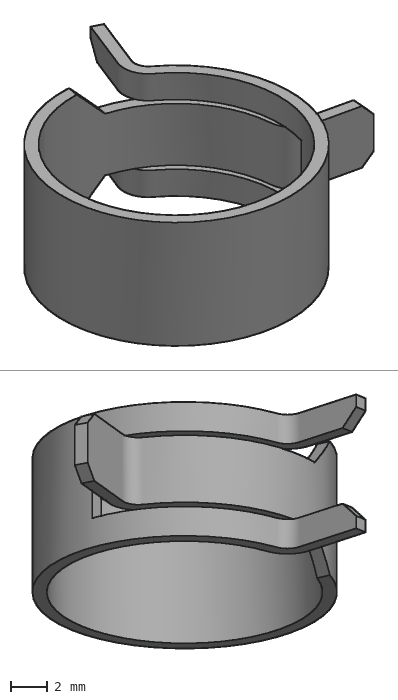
import cadquery as cq
import math


overall_length = 19.61
outer_radius = 8.45
thickness = 0.8
band_width = 8.0
tongue_width = band_width / 2
window_width = 4.51
split_angle = 48.0
bend_angle = 26.4
ear_angle = 38.0
bend_inside_radius = 1.0
tongue_tip_chamfer = 0.8
arm_tip_chamfer = 1.0

inner_radius = outer_radius - thickness
bend_outside_radius = bend_inside_radius + thickness
bend_center_radius = outer_radius + bend_inside_radius
half_width = band_width / 2
seam_angle = 180


def polar(radius, degrees, center=(0, 0)):
    """Point at a radius and angle from +X about a center."""
    angle = math.radians(degrees)
    return (center[0] + radius * math.cos(angle), center[1] + radius * math.sin(angle))


def curved_strip(center, radii, angles, z_range):
    """Piece of a cylindrical wall between two radii, two angles and two heights."""
    small, large = radii
    start, end = angles
    middle = (start + end) / 2
    low, high = z_range
    return (
        cq.Workplane("XY", origin=(0, 0, low))
        .moveTo(*polar(small, start, center))
        .threePointArc(polar(small, middle, center), polar(small, end, center))
        .lineTo(*polar(large, end, center))
        .threePointArc(polar(large, middle, center), polar(large, start, center))
        .close()
        .extrude(high - low)
    )


bend_direction = 90 + bend_angle
ear_direction = 90 + ear_angle
ear_face_direction = ear_direction + 90
bend_center = polar(bend_center_radius, bend_direction)
ear_root = polar(bend_inside_radius, ear_face_direction, bend_center)
ear_tip_y = overall_length - outer_radius
ear_length = (ear_tip_y - ear_root[1]) / math.cos(math.radians(ear_angle))


def ear(z_range, low_chamfer, high_chamfer):
    """Straight ear with its two tip corners cut at 45 degrees."""
    low, high = z_range
    outline = [
        (0, low),
        (ear_length - low_chamfer, low),
        (ear_length, low + low_chamfer),
        (ear_length, high - high_chamfer),
        (ear_length - high_chamfer, high),
        (0, high),
    ]
    corners = [point for i, point in enumerate(outline) if point != outline[i - 1]]
    ear_plane = cq.Plane(
        origin=(*ear_root, 0),
        xDir=(*polar(1, ear_direction), 0),
        normal=(*polar(1, ear_direction - 90), 0),
    )
    return cq.Workplane(ear_plane).polyline(corners).close().extrude(-thickness)


def bent_wall(start, z_range):
    """Ring wall from a start angle to the left-hand bend, with that bend."""
    wall = curved_strip(
        (0, 0), (inner_radius, outer_radius), (start, bend_direction), z_range
    )
    bend = curved_strip(
        bend_center,
        (bend_inside_radius, bend_outside_radius),
        (ear_face_direction, bend_direction + 180),
        z_range,
    )
    return wall.union(bend)


def tongue():
    """Central tongue, starting at the left-hand split and ending in the right-hand ear."""
    z_range = (-tongue_width / 2, tongue_width / 2)
    tip = ear(z_range, tongue_tip_chamfer, tongue_tip_chamfer)
    return bent_wall(90 - split_angle, z_range).union(tip).mirror("YZ")


def arms_half():
    """Band from the seam around -Y to the left-hand ears, split into two arms by a window."""
    window = curved_strip(
        (0, 0),
        (inner_radius / 2, overall_length),
        (90 - split_angle, 90 + split_angle),
        (-window_width / 2, window_width / 2),
    )
    upper_ear = ear((window_width / 2, half_width), arm_tip_chamfer, 0)
    lower_ear = ear((-half_width, -window_width / 2), 0, arm_tip_chamfer)
    band = bent_wall(seam_angle - 360, (-half_width, half_width)).cut(window)
    return band.union(upper_ear).union(lower_ear)


def tongue_root():
    """Full-width wall tapered at 45 degrees down to the tongue."""
    wall = curved_strip(
        (0, 0),
        (inner_radius, outer_radius),
        (90 + split_angle, seam_angle),
        (-half_width, half_width),
    )
    taper = half_width - tongue_width / 2
    taper_plane = cq.Plane(
        origin=(*polar(outer_radius, 90 + split_angle), 0),
        xDir=(*polar(1, split_angle), 0),
        normal=(*polar(1, split_angle - 90), 0),
    )
    for side in (-1, 1):
        corner = (
            cq.Workplane(taper_plane)
            .polyline(
                [
                    (0, side * tongue_width / 2),
                    (0, side * half_width),
                    (-taper, side * half_width),
                ]
            )
            .close()
            .extrude(outer_radius, both=True)
        )
        wall = wall.cut(corner)
    return wall


tongue_half = tongue_root().union(tongue())

result = tongue_half.union(arms_half(), clean=False)